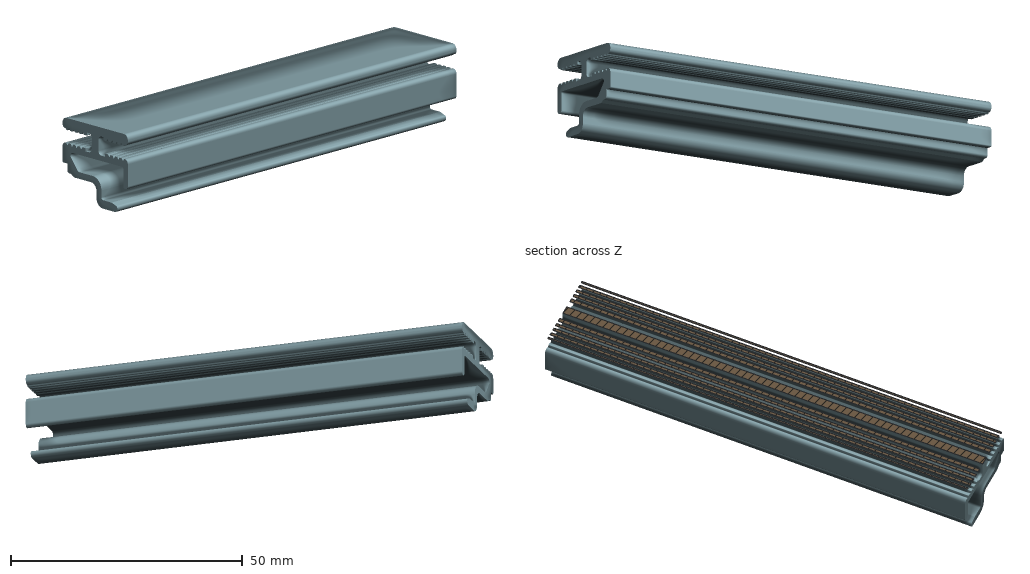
import cadquery as cq

length = 100.0
width = 20.0
height = 18.1

top_plate_thickness = 2.7
top_plate_upper_radius = 1.2
top_plate_lower_radius = 0.9
edge_step = 0.3
edge_step_width = 1.0
edge_step_flank = 0.2
web_width = 2.0
web_fillet = 0.9

plate_gap = 2.9
middle_plate_thickness = 1.9
middle_plate_edge_radius = 1.0
lip_thickness = 1.4
lip_drop = 4.8
lip_inner_fillet = 0.4
lip_tip_outer_radius = 0.7
lip_tip_inner_radius = 0.6

groove_pitch = 1.4
groove_count = 4
groove_mouth_width = 0.7
groove_rounding = 0.1
groove_depth = 0.6
relief_depth = 0.7
upper_relief_half_width = 2.5
lower_relief_half_width = 3.0
tooth_land = 1.3

wall_height = 4.6
notch_width = 1.5
wall_foot_radius = 0.3
heel_drop = 2.1
heel_radius = 0.6
heel_toe_x = -7.4
heel_step_x = -6.5
cavity_corner_x = -8.3
cavity_corner_radius = 0.7
slope_foot_x = -5.2
slope_foot_radius = 1.0

arm_thickness = 1.5
arm_bend_lower_radius = 1.7
arm_bend_upper_radius = 2.7
arm_top_drop = 3.9
riser_left_x = 0.4
foot_thickness = 1.9
foot_bend_outer_radius = 2.0
foot_bend_inner_radius = 0.5
foot_slope_start_x = 5.0
foot_slope_drop = 0.6
foot_tip_x = 6.8
foot_tip_upper_radius = 0.6
foot_tip_lower_radius = 0.8

right = width / 2
left = -right
web_right = web_width / 2
top_plate_bottom = height - top_plate_thickness
edge_bottom = top_plate_bottom + edge_step
edge_step_x = right - edge_step_width
upper_relief = top_plate_bottom + relief_depth
middle_top = top_plate_bottom - plate_gap
lower_relief = middle_top - relief_depth
middle_bottom = middle_top - middle_plate_thickness
lip_left = right - lip_thickness
lip_bottom = middle_bottom - lip_drop
wall_bottom = middle_top - wall_height
heel_left = left + notch_width
heel_bottom = wall_bottom - heel_drop
arm_top = middle_bottom - arm_top_drop
arm_bottom = arm_top - arm_thickness
riser_right_x = riser_left_x + arm_thickness


def groove_corners(relief_half_width, surface_z, root_z):
    """Corners of the V grooves right of the web, listed outward from it."""
    corners = []
    for index in range(groove_count):
        x = relief_half_width + tooth_land + index * groove_pitch
        corners.append((x - groove_mouth_width / 2, surface_z, groove_rounding))
        corners.append((x, root_z, groove_rounding))
        corners.append((x + groove_mouth_width / 2, surface_z, groove_rounding))
    return corners


upper_grooves = groove_corners(
    upper_relief_half_width, top_plate_bottom, top_plate_bottom + groove_depth
)
lower_grooves = groove_corners(
    lower_relief_half_width, middle_top, middle_top - groove_depth
)
plates_right_side = [
    (right, height, top_plate_upper_radius),
    (right, edge_bottom, top_plate_lower_radius),
    (edge_step_x, edge_bottom, groove_rounding),
    (edge_step_x - edge_step_flank, top_plate_bottom, groove_rounding),
    *reversed(upper_grooves),
    (upper_relief_half_width, top_plate_bottom, groove_rounding),
    (upper_relief_half_width, upper_relief, 0),
    (web_right, upper_relief, web_fillet),
    (web_right, lower_relief, web_fillet),
    (lower_relief_half_width, lower_relief, 0),
    (lower_relief_half_width, middle_top, groove_rounding),
    *lower_grooves,
    (right, middle_top, middle_plate_edge_radius),
]
plates_left_side = [(-x, z, radius) for x, z, radius in reversed(plates_right_side)]
lip = [
    (right, lip_bottom, lip_tip_outer_radius),
    (lip_left, lip_bottom, lip_tip_inner_radius),
    (lip_left, middle_bottom, lip_inner_fillet),
]
cavity = [
    (cavity_corner_x, middle_bottom, cavity_corner_radius),
    (slope_foot_x, arm_top, slope_foot_radius),
]
arm_and_foot = [
    (riser_right_x, arm_top, arm_bend_upper_radius),
    (riser_right_x, foot_thickness, foot_bend_inner_radius),
    (foot_slope_start_x, foot_thickness, 0),
    (foot_tip_x, foot_thickness - foot_slope_drop, foot_tip_upper_radius),
    (foot_tip_x, 0, foot_tip_lower_radius),
    (riser_left_x, 0, foot_bend_outer_radius),
    (riser_left_x, arm_bottom, arm_bend_lower_radius),
]
heel_and_notch = [
    (heel_step_x, arm_bottom, 0),
    (heel_toe_x, heel_bottom, 0),
    (heel_left, heel_bottom, heel_radius),
    (heel_left, wall_bottom, 0),
    (left, wall_bottom, wall_foot_radius),
]


def extrude_section(points):
    """Extrude a closed XZ polygon along Y, centred on the XZ plane."""
    return cq.Workplane("XZ").polyline(points).close().extrude(length / 2, both=True)


def rounded_section(corners):
    """Extrude the corners and round the lengthwise edges that have a radius."""
    body = extrude_section([(x, z) for x, z, _ in corners])
    for x, z, radius in corners:
        if radius > 0:
            nearest = cq.selectors.NearestToPointSelector((x, 0, z))
            body = body.edges("|Y").edges(nearest).fillet(radius)
    return body


result = rounded_section(
    plates_right_side + lip + cavity + arm_and_foot + heel_and_notch + plates_left_side
)